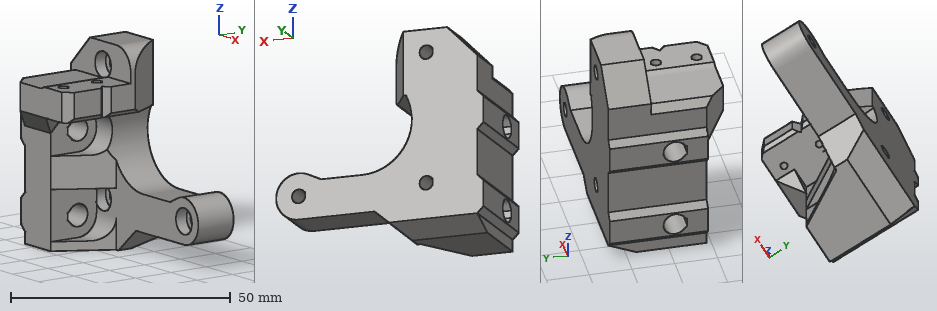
import cadquery as cq
import math


plate_depth = 10.05
height = 47.75
lug_width = 23.0
lug_bevel = 7.35
lug_radius = 5.5
foot_width = 18.3
foot_bevel_end_x = 25.0
back_bevel_width = 5.05
back_bevel_angle = 30

hole_pitch = 31.0
first_hole_x = 12.4
first_hole_z = 11.3
screw_diameter = 3.3
head_diameter = 6.2
head_depth = 3.0
boss_radius = 12.0
arm_end_radius = 5.5
arm_neck_x = 37.95
last_hole_x = first_hole_x + hole_pitch
upper_hole_z = first_hole_z + hole_pitch
boss_x = first_hole_x + hole_pitch / 2
boss_z = first_hole_z + hole_pitch / 2
arm_top = boss_z - boss_radius
arm_bottom = first_hole_z - arm_end_radius

column_width = 9.9
column_depth = 23.0
gusset_foot_x = 17.45
foot_slope_depth = 6.55
foot_slope_height = 2.8

tooth_height = 1.5
tooth_half_tip = 3.05
tooth_half_root = 4.6
clamp_z_low = 7.4
clamp_pitch = 19.95
clamp_diameter = 5.35
clamp_roof = 2.9
recess_radius = 5.2
clamp_heights = (clamp_z_low, clamp_z_low + clamp_pitch)
clamp_y = -(plate_depth + recess_radius)

shelf_depth = 28.0
shelf_bottom = clamp_heights[1] + recess_radius
shelf_top = 39.7
shelf_side_bevel = 1.75
shelf_front_bevel = 2.05
shelf_lower_bevel = 1.0
notch_y = -17.0
notch_half_width = 1.4
notch_depth = 1.5
overhang = shelf_depth - column_depth
shelf_low_top = upper_hole_z - head_diameter / 2

insert_x = 16.9
insert_ys = (-15.0, -24.55)
insert_mouth = 2.35
insert_bore = 1.6
insert_taper_depth = 2.5


def forward(outline, start, end):
    """Extrude an XZ outline from depth start to depth end, measured forward from the back."""
    return outline.extrude(end - start).translate((0, -start, 0))


def make_plate():
    """Back plate with the upper lug and the arm; the space between them is rounded out later."""
    neck_dx = last_hole_x - arm_neck_x
    neck_dz = arm_top - first_hole_z
    neck_distance = math.hypot(neck_dx, neck_dz)
    tangent_angle = math.atan2(neck_dz, -neck_dx) - math.acos(arm_end_radius / neck_distance)
    tangent_x = last_hole_x + arm_end_radius * math.cos(tangent_angle)
    tangent_z = first_hole_z + arm_end_radius * math.sin(tangent_angle)

    fillet_x = lug_width - lug_radius
    fillet_z = height - lug_radius
    fillet_mid = (
        fillet_x + lug_radius * math.sqrt(0.5),
        fillet_z + lug_radius * math.sqrt(0.5),
    )
    outline = (
        cq.Workplane("XZ")
        .moveTo(0, 0)
        .lineTo(foot_width, 0)
        .lineTo(foot_bevel_end_x, arm_bottom)
        .lineTo(last_hole_x, arm_bottom)
        .threePointArc((last_hole_x + arm_end_radius, first_hole_z), (tangent_x, tangent_z))
        .lineTo(arm_neck_x, arm_top)
        .lineTo(boss_x, arm_top)
        .lineTo(boss_x, shelf_bottom)
        .lineTo(lug_width - shelf_lower_bevel, shelf_bottom)
        .lineTo(lug_width, shelf_bottom + shelf_lower_bevel)
        .lineTo(lug_width, fillet_z)
        .threePointArc(fillet_mid, (fillet_x, height))
        .lineTo(lug_bevel, height)
        .lineTo(0, height - lug_bevel)
        .close()
    )
    plate = forward(outline, 0, plate_depth)

    bevel_depth = back_bevel_width / math.tan(math.radians(back_bevel_angle))
    bevel = (
        cq.Workplane("XY", origin=(0, 0, shelf_bottom))
        .polyline([(lug_width - back_bevel_width, 0), (lug_width, 0), (lug_width, -bevel_depth)])
        .close()
        .extrude(height - shelf_bottom)
    )
    return plate.cut(bevel)


def make_column():
    """Upright column with a slanted gusset running back to the plate."""
    return (
        cq.Workplane("XY")
        .polyline([
            (0, 0),
            (column_width, 0),
            (gusset_foot_x, -plate_depth),
            (column_width, -column_depth),
            (0, -column_depth),
        ])
        .close()
        .extrude(shelf_bottom)
    )


def make_teeth():
    """Two bevelled teeth that key into the rail."""
    teeth = cq.Workplane("XZ")
    for z in clamp_heights:
        teeth = teeth.polyline([
            (0, z - tooth_half_root),
            (-tooth_height, z - tooth_half_tip),
            (-tooth_height, z + tooth_half_tip),
            (0, z + tooth_half_root),
        ]).close()
    return forward(teeth, 0, column_depth)


def make_shelf():
    """Shelf with a bevelled underside that grows out of the column at 45 degrees.

    Its top steps up below the upper screw; the screw head channel later rounds this step off.
    """
    profile = cq.Workplane("XZ").polyline([
        (0, shelf_bottom - overhang),
        (column_width, shelf_bottom - overhang),
        (column_width + overhang, shelf_bottom),
        (lug_width - shelf_lower_bevel, shelf_bottom),
        (lug_width, shelf_bottom + shelf_lower_bevel),
        (lug_width, shelf_top),
        (first_hole_x, shelf_top),
        (first_hole_x, shelf_low_top),
        (shelf_side_bevel, shelf_low_top),
        (0, shelf_low_top - shelf_side_bevel),
    ]).close()
    shelf = forward(profile, plate_depth, shelf_depth)

    plan = cq.Workplane("XY").polyline([
        (0, 0),
        (lug_width, 0),
        (lug_width, notch_y + notch_half_width),
        (lug_width - notch_depth, notch_y),
        (lug_width, notch_y - notch_half_width),
        (lug_width, shelf_front_bevel - shelf_depth),
        (lug_width - shelf_front_bevel, -shelf_depth),
        (overhang, -shelf_depth),
        (0, -column_depth),
    ]).close().extrude(height)

    side = cq.Workplane("YZ").polyline([
        (0, shelf_bottom - overhang),
        (-column_depth, shelf_bottom - overhang),
        (-shelf_depth, shelf_bottom),
        (-shelf_depth, height),
        (0, height),
    ]).close().extrude(lug_width)
    return shelf.intersect(plan).intersect(side)


def cut_boss_clearance(body):
    """Round clearance from the top of the arm up to the underside of the lug."""
    boss_end_angle = math.pi - math.asin((shelf_bottom - boss_z) / boss_radius)
    lug_inner_x = boss_x + boss_radius * math.cos(boss_end_angle)
    mid_angle = (boss_end_angle + 1.5 * math.pi) / 2
    boss_mid = (boss_x + boss_radius * math.cos(mid_angle), boss_z + boss_radius * math.sin(mid_angle))
    clearance = (
        cq.Workplane("XZ")
        .moveTo(boss_x, arm_top)
        .threePointArc(boss_mid, (lug_inner_x, shelf_bottom))
        .lineTo(boss_x, shelf_bottom)
        .close()
    )
    return body.cut(forward(clearance, 0, column_depth))


def cut_motor_holes(body):
    """Counterbored screw holes; the upper head bore runs on as a channel across the shelf."""
    for x, z, head_end in (
        (first_hole_x, first_hole_z, plate_depth),
        (last_hole_x, first_hole_z, plate_depth),
        (first_hole_x, upper_hole_z, shelf_depth),
    ):
        screw = cq.Workplane("XZ").center(x, z).circle(screw_diameter / 2)
        head = cq.Workplane("XZ").center(x, z).circle(head_diameter / 2)
        body = body.cut(forward(screw, 0, plate_depth))
        body = body.cut(forward(head, plate_depth - head_depth, head_end))
    return body


def cut_clamp_holes(body):
    """Screw holes with a flattened peak towards the front, and head recesses open to the front."""
    radius = clamp_diameter / 2
    front_reach = column_depth + clamp_y
    tangent = radius * math.sqrt(0.5)
    roof_half = radius * math.sqrt(2) - clamp_roof
    for z in clamp_heights:
        hole = (
            cq.Workplane("YZ", origin=(-tooth_height, clamp_y, z))
            .moveTo(-tangent, tangent)
            .threePointArc((radius, 0), (-tangent, -tangent))
            .lineTo(-clamp_roof, -roof_half)
            .lineTo(-clamp_roof, roof_half)
            .close()
            .extrude(tooth_height + lug_width)
        )
        recess = (
            cq.Workplane("YZ", origin=(column_width, clamp_y, z))
            .moveTo(0, recess_radius)
            .threePointArc((recess_radius, 0), (0, -recess_radius))
            .lineTo(-front_reach, -recess_radius)
            .lineTo(-front_reach, recess_radius)
            .close()
            .extrude(lug_width - column_width)
        )
        body = body.cut(hole).cut(recess)

    head_top = first_hole_z + head_diameter / 2
    gap = (
        cq.Workplane("XZ")
        .moveTo(column_width, clamp_z_low)
        .rect(gusset_foot_x - column_width, head_top - clamp_z_low, centered=False)
    )
    return body.cut(forward(gap, plate_depth, column_depth))


def cut_inserts(body):
    """Upright holes through the shelf with a tapered mouth."""
    for y in insert_ys:
        bore = (
            cq.Workplane("XY", origin=(insert_x, y, shelf_bottom))
            .circle(insert_bore / 2)
            .extrude(shelf_top - shelf_bottom)
        )
        taper = (
            cq.Workplane("XY", origin=(insert_x, y, shelf_top))
            .circle(insert_mouth / 2)
            .workplane(offset=-insert_taper_depth)
            .circle(insert_bore / 2)
            .loft()
        )
        body = body.cut(bore).cut(taper)
    return body


def cut_foot_slope(body):
    """Slope along the lower back edge."""
    slope = (
        cq.Workplane("YZ", origin=(-tooth_height, 0, 0))
        .polyline([(0, 0), (-foot_slope_depth, 0), (0, foot_slope_height)])
        .close()
        .extrude(tooth_height + foot_bevel_end_x)
    )
    return body.cut(slope)


body = make_plate().union(make_column()).union(make_teeth()).union(make_shelf())
body = cut_boss_clearance(body)
body = cut_motor_holes(body)
body = cut_clamp_holes(body)
body = cut_inserts(body)
result = cut_foot_slope(body)